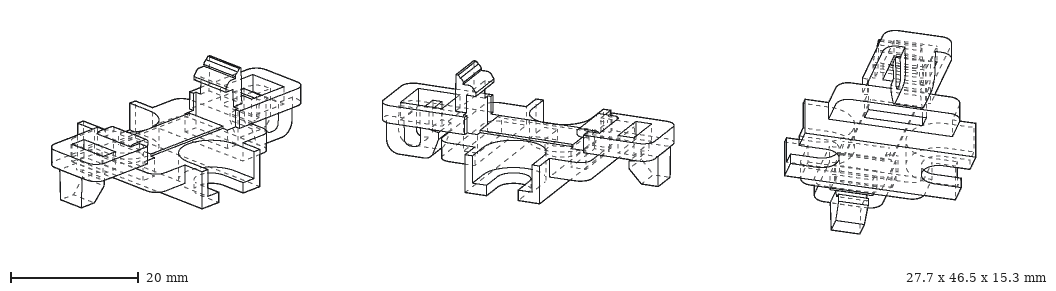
import cadquery as cq

base_bottom = 3.2
base_top = 6.32
strip_top = 6.7
plate_thickness = 2.95
plate_top = base_top + plate_thickness

base_width = 20.05
base_length = 25.58
corner_radius = 2.0
block_width = 27.65
block_length = 12.8
slot_centre_x = 9.45
slot_radius = 2.7
recess_radius = 5.1
recess_floor = 1.75

strip_width = 7.45
strip_back = 8.3
strip_front = -7.65
back_window_end = 10.65
back_window_width = 9.4
front_window_width = 9.15

plate_width = 11.05
opening_width = 6.95
back_plate_start = 10.1
back_plate_end = 24.9
back_opening_start = 14.9
back_opening_end = 22.0
front_plate_start = -10.25
front_plate_end = -21.58
front_opening_start = -15.25
front_opening_end = -17.95

finger_rear = 12.5
finger_top = 15.3
finger_top_width = 6.98
crest_end = 12.1
crest_bevel = (11.7, 14.85)
crest_curve_middle = (11.4, 14.55)
crest_curve_end = (11.2, 14.2)
finger_step = 13.85
step_start = 11.25
step_end = 10.4
catch_curve_middle = (9.9, 13.75)
catch_curve_end = (9.5, 13.4)
catch_tip = 9.05
catch_tip_top = 12.75
catch_bottom = 12.2

lip_bottom = 8.25
lip_top = 9.55
lip_tip = -8.32
lip_nose_depth = 0.5
lip_flat_end = -11.55
lip_end = -12.2
lip_bottom_width = 7.7

hook_top_width = 4.98
hook_bottom_width = 4.65

back_hook_bottom = 0.1
back_arm_rear = 19.05
back_arm_front = 17.55
back_arm_top = 8.05
back_nose = 15.95
back_nose_bottom = 3.6
back_nose_top = 4.75
back_nose_root = 5.05
back_heel = 17.3
back_heel_radius = 1.6
back_outer_radius = 2.25
gap_rear = 21.8
gap_floor = 1.75
gap_radius = 1.05

front_hook_bottom = 1.25
front_hook_rear = -21.6
front_heel = -18.75
front_nose = -16.65
front_nose_bottom = 3.55
front_nose_top = 4.85
front_root = -17.9
front_root_height = 5.05
front_root_radius = 0.35


def box(width, y_range, z_range):
    """Block centred on X, spanning the given Y and Z ranges."""
    y_low, y_high = sorted(y_range)
    z_low, z_high = z_range
    return (
        cq.Workplane("XY")
        .box(width, y_high - y_low, z_high - z_low, centered=(True, False, False))
        .translate((0, y_low, z_low))
    )


def tapered(profile, z_low, width_low, z_high, width_high):
    """Extrude a closed YZ profile along X, with sides that draw in along Z."""
    solid = profile.extrude(block_width, both=True)
    envelope = (
        cq.Workplane("XZ")
        .polyline(
            [
                (-width_low / 2, z_low),
                (width_low / 2, z_low),
                (width_high / 2, z_high),
                (-width_high / 2, z_high),
            ]
        )
        .close()
        .extrude(base_length, both=True)
    )
    return solid.intersect(envelope)


def round_edge(solid, y, z, radius):
    """Round the X-direction edge closest to a point of the YZ profile."""
    return solid.edges("|X").edges(cq.selectors.NearestToPointSelector((0, y, z))).fillet(radius)


def make_base():
    base = box(base_width, (-base_length / 2, base_length / 2), (base_bottom, base_top))
    base = base.edges("|Z").fillet(corner_radius)
    block = box(block_width, (-block_length / 2, block_length / 2), (0, base_top))
    strip = box(strip_width, (strip_front, strip_back), (base_bottom, strip_top))
    return base.union(block).union(strip)


def mounting_slot(side, radius, floor):
    """U-shaped cutter, open to the outer end of the block on one side."""
    run = block_width / 2
    round_end = cq.Workplane("XY").center(side * slot_centre_x, 0).circle(radius)
    straight = cq.Workplane("XY").center(side * (slot_centre_x + run / 2), 0).rect(run, 2 * radius)
    cutter = round_end.extrude(base_top).union(straight.extrude(base_top))
    return cutter.translate((0, 0, floor))


def make_plate(start, end, outer_edges):
    plate = box(plate_width, (start, end), (base_top, plate_top))
    return plate.edges("|Z").edges(outer_edges).fillet(corner_radius)


def make_finger():
    profile = (
        cq.Workplane("YZ")
        .moveTo(back_window_end, base_top)
        .lineTo(finger_rear, base_top)
        .lineTo(finger_rear, finger_top)
        .lineTo(crest_end, finger_top)
        .lineTo(*crest_bevel)
        .threePointArc(crest_curve_middle, crest_curve_end)
        .lineTo(step_start, finger_step)
        .lineTo(step_end, finger_step)
        .threePointArc(catch_curve_middle, catch_curve_end)
        .lineTo(catch_tip, catch_tip_top)
        .lineTo(catch_tip, catch_bottom)
        .lineTo(back_window_end, catch_bottom)
        .close()
    )
    return tapered(profile, base_top, strip_width, finger_top, finger_top_width)


def make_lip():
    middle = (lip_top + lip_bottom) / 2
    nose_start = lip_tip - lip_nose_depth
    profile = (
        cq.Workplane("YZ")
        .moveTo(lip_end, lip_bottom)
        .lineTo(nose_start, lip_bottom)
        .threePointArc((lip_tip, middle), (nose_start, lip_top))
        .lineTo(lip_flat_end, lip_top)
        .tangentArcPoint((lip_end, plate_top), relative=False)
        .lineTo(lip_end, lip_bottom)
        .close()
    )
    return tapered(profile, lip_bottom, lip_bottom_width, lip_top, strip_width)


def make_back_hook():
    outline = [
        (back_plate_end, base_top),
        (back_plate_end, back_hook_bottom),
        (back_heel, back_hook_bottom),
        (back_nose, back_nose_bottom),
        (back_nose, back_nose_top),
        (back_arm_front, back_nose_root),
        (back_arm_front, back_arm_top),
        (back_arm_rear, back_arm_top),
        (back_arm_rear, base_top),
    ]
    profile = cq.Workplane("YZ").polyline(outline).close()
    hook = tapered(profile, back_hook_bottom, hook_bottom_width, back_arm_top, hook_top_width)
    hook = round_edge(hook, back_plate_end, back_hook_bottom, back_outer_radius)
    hook = round_edge(hook, back_heel, back_hook_bottom, back_heel_radius)
    gap = box(hook_top_width, (back_arm_rear, gap_rear), (gap_floor, base_top))
    gap = gap.edges("|X and <Z").fillet(gap_radius)
    return hook.cut(gap)


def make_front_hook():
    outline = [
        (front_hook_rear, base_top),
        (front_hook_rear, front_hook_bottom),
        (front_heel, front_hook_bottom),
        (front_nose, front_nose_bottom),
        (front_nose, front_nose_top),
        (front_root, front_root_height),
        (front_root, base_top),
    ]
    profile = cq.Workplane("YZ").polyline(outline).close()
    hook = tapered(profile, front_hook_bottom, hook_bottom_width, base_top, hook_top_width)
    return round_edge(hook, front_root, front_root_height, front_root_radius)


body = make_base()
for side in (-1, 1):
    body = body.cut(mounting_slot(side, recess_radius, recess_floor))
    body = body.cut(mounting_slot(side, slot_radius, 0))

body = body.union(make_plate(back_plate_start, back_plate_end, ">Y"))
body = body.union(make_plate(front_plate_start, front_plate_end, "<Y"))
full_height = (0, plate_top)
plate_height = (base_top, plate_top)
body = body.cut(box(back_window_width, (strip_back, back_window_end), full_height))
body = body.cut(box(front_window_width, (front_plate_start, strip_front), full_height))
body = body.cut(box(opening_width, (back_opening_start, back_opening_end), plate_height))
body = body.cut(box(opening_width, (front_opening_end, front_opening_start), plate_height))

for latch in (make_finger(), make_lip(), make_back_hook(), make_front_hook()):
    body = body.union(latch)

result = body